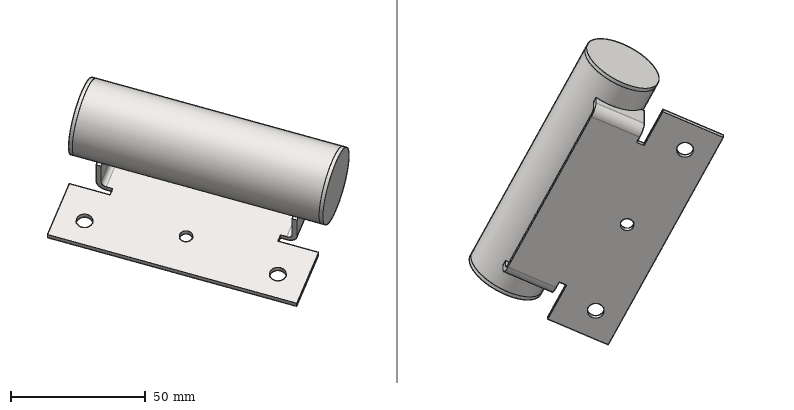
import cadquery as cq

total_length = 100.0
roller_diameter = 30.0
cap_thickness = 1.5
roller_axis_y = 42.0
roller_axis_z = 22.0

sheet = 2.0
plate_width = 98.0
plate_depth = 25.0
neck_width = 66.0
saddle_width = 79.0
saddle_front_y = 28.0
saddle_depth = 20.0
tab_height = 14.0
inner_bend = 2.0
outer_bend = inner_bend + sheet

side_hole_diameter = 6.2
side_hole_spacing = 76.0
side_hole_y = 10.5
centre_hole_diameter = 5.0
centre_hole_y = 16.0


def rod(start_x, length):
    """A cylinder on the roller axis, running toward +X from start_x."""
    return (
        cq.Workplane("YZ", origin=(start_x, roller_axis_y, roller_axis_z))
        .circle(roller_diameter / 2)
        .extrude(length)
    )


def make_roller():
    body_length = total_length - 2 * cap_thickness
    return rod(-body_length / 2, body_length)


def make_end_cap(start_x):
    return rod(start_x, cap_thickness)


def flat_sheet(width, front_y, depth):
    """A flat piece of sheet, centred on x = 0."""
    return (
        cq.Workplane("XY")
        .box(width, depth, sheet, centered=(True, False, False))
        .translate((0, front_y, 0))
    )


def make_saddle():
    """The U-bent rear of the bracket, hollowed on top to seat the roller."""
    inner_width = saddle_width - 2 * sheet
    outside = (
        cq.Workplane("XY")
        .box(saddle_width, saddle_depth, tab_height, centered=(True, False, False))
        .edges("|Y and <Z")
        .fillet(outer_bend)
    )
    inside = (
        cq.Workplane("XY", origin=(0, 0, sheet))
        .box(inner_width, saddle_depth, tab_height, centered=(True, False, False))
        .edges("|Y and <Z")
        .fillet(inner_bend)
    )
    channel = outside.cut(inside).translate((0, saddle_front_y, 0))
    return channel.cut(rod(-total_length / 2, total_length))


def make_bracket():
    plate = flat_sheet(plate_width, 0, plate_depth)
    neck = flat_sheet(neck_width, plate_depth, saddle_front_y - plate_depth)
    side_holes = (
        cq.Workplane("XY")
        .pushPoints([(side * side_hole_spacing / 2, side_hole_y) for side in (-1, 1)])
        .circle(side_hole_diameter / 2)
        .extrude(sheet)
    )
    centre_hole = (
        cq.Workplane("XY")
        .center(0, centre_hole_y)
        .circle(centre_hole_diameter / 2)
        .extrude(sheet)
    )
    return plate.union(neck).union(make_saddle()).cut(side_holes).cut(centre_hole)


roller = make_roller()
end_caps = [
    make_end_cap(start_x)
    for start_x in (-total_length / 2, total_length / 2 - cap_thickness)
]
bracket = make_bracket()

result = cq.Compound.makeCompound(
    [roller.val(), *[cap.val() for cap in end_caps], bracket.val()]
)